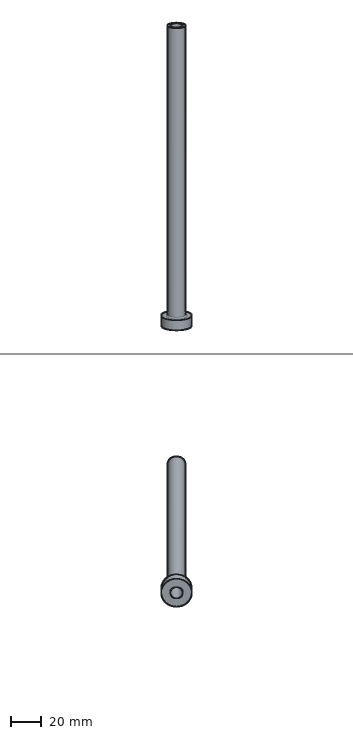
import cadquery as cq

total_length = 207.0
head_diameter = 20.0
head_height = 7.0
tube_diameter = 12.0
bore_diameter = 8.0
root_fillet = 0.8

head_radius = head_diameter / 2
tube_radius = tube_diameter / 2
bore_radius = bore_diameter / 2
fillet_center_x = tube_radius + root_fillet
fillet_center_z = head_height + root_fillet

half_section = (
    cq.Workplane("XZ")
    .moveTo(bore_radius, 0)
    .lineTo(head_radius, 0)
    .lineTo(head_radius, head_height)
    .lineTo(fillet_center_x, head_height)
    .radiusArc((tube_radius, fillet_center_z), root_fillet)
    .lineTo(tube_radius, total_length)
    .lineTo(bore_radius, total_length)
    .close()
)

result = half_section.revolve(360, (0, 0, 0), (0, 1, 0))